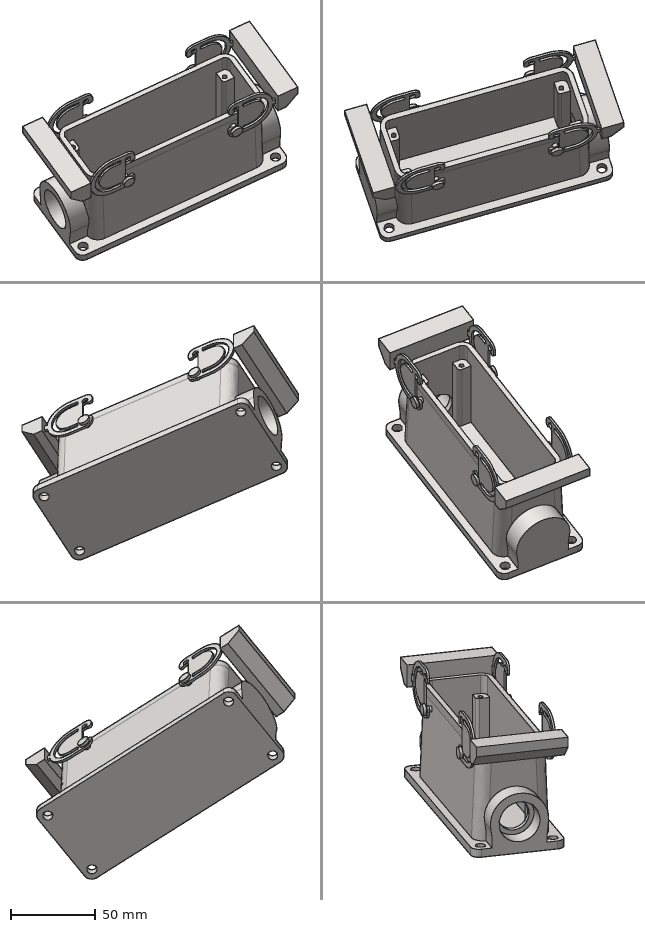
import cadquery as cq
import math


flange_width = 57.5
flange_length = 144.6
flange_height = 5.1
flange_corner = 5.1
screw_hole_radius = 3.0
screw_hole_x = 22.5
screw_hole_y = 66.1

rim_half_width = 21.5
base_half_width = 24.0
half_length = 60.0
outer_corner = 7.8
wall = 3.3
rim_height = 64.3
crease_height = 58.7
floor_height = flange_height
inner_corner = 3.5

post_hole_x = 13.4
post_hole_y = 52.1
post_hole_radius = 1.4
post_hole_depth = 12.5
post_inner_x = 10.0
post_inner_y = 49.1
post_corner = 2.0
post_top = 52.4

entry_height = 20.0
entry_radius = 18.1
entry_waist_height = 16.7
entry_foot_half_width = 17.0
bore_radius = 12.6
bore_depth = flange_length / 2 - half_length
gland_hole_radius = 9.7

plate_inner_x = 24.2
plate_outer_x = 25.6
plate_thickness = plate_outer_x - plate_inner_x
plate_radius = 15.6
plate_center_y = 47.1
plate_center_z = 64.5
plate_top = plate_center_z + plate_radius
plate_tip_y = 32.3
plate_corner = 4.8
web_edge_y = 38.8
hook_radius = 1.7
hook_y = plate_tip_y + hook_radius
hook_rise = 8.7
slot_outer_radius = 12.5
slot_inner_radius = 9.5
slot_end_y = 41.8
slot_corner = 1.0

pivot_y = 37.1
pivot_rise = 10.5
pivot_radius = 1.9
pivot_head_radius = 3.6
pivot_head_x = 27.5
notch_y = pivot_y
notch_rise = 5.3
notch_radius = math.hypot(notch_y - hook_y, hook_rise - notch_rise) - hook_radius

bar_width = 57.0
bar_inner_y = 64.3
bar_outer_y = 78.0
bar_top = 72.7
bar_bottom = 58.5
bar_chamfer_y = 70.0
bar_chamfer_z = 66.5
neck_height = 4.2


def rounded_rectangle(half_x, half_y, radius):
    return cq.Sketch().rect(2 * half_x, 2 * half_y).vertices().fillet(radius)


def make_wall_block():
    """Solid block out to the outer faces of the walls; only its long sides are drafted."""
    profile = rounded_rectangle(rim_half_width, half_length, outer_corner)
    block = (
        cq.Workplane("XY", origin=(0, 0, crease_height))
        .placeSketch(profile)
        .extrude(rim_height - crease_height)
    )
    crease_outline = block.faces("<Z").wires().val()
    for side in (-1, 1):
        lean = cq.Vector(side * (base_half_width - rim_half_width), 0, -crease_height)
        block = block.union(cq.Workplane(cq.Solid.extrudeLinear(crease_outline, [], lean)))
    return block


def make_cavity():
    """Straight-sided cavity, open at the rim."""
    return (
        cq.Workplane("XY", origin=(0, 0, floor_height))
        .placeSketch(rounded_rectangle(rim_half_width - wall, half_length - wall, inner_corner))
        .extrude(rim_height - floor_height)
    )


def make_flange():
    return (
        cq.Workplane("XY")
        .rect(flange_width, flange_length)
        .extrude(flange_height)
        .edges("|Z")
        .fillet(flange_corner)
        .faces(">Z")
        .workplane()
        .rect(2 * screw_hole_x, 2 * screw_hole_y, forConstruction=True)
        .vertices()
        .hole(2 * screw_hole_radius)
    )


def make_entry_bosses():
    """Round boss on a flared foot, running the full length of the flange."""
    drop = entry_height - entry_waist_height
    waist = math.sqrt(entry_radius**2 - drop**2)
    return (
        cq.Workplane("XZ", origin=(0, flange_length / 2, 0))
        .moveTo(-entry_foot_half_width, 0)
        .lineTo(entry_foot_half_width, 0)
        .lineTo(entry_foot_half_width, flange_height)
        .tangentArcPoint((waist, entry_waist_height), relative=False)
        .threePointArc((0, entry_height + entry_radius), (-waist, entry_waist_height))
        .tangentArcPoint((-entry_foot_half_width, flange_height), relative=False)
        .close()
        .extrude(flange_length)
    )


def make_posts(wall_block):
    """Four corner posts, trimmed to the outer faces of the walls."""
    size_x = rim_half_width - post_inner_x
    size_y = half_length - post_inner_y
    posts = cq.Workplane("XY")
    for side_x in (-1, 1):
        for side_y in (-1, 1):
            center = (side_x * (post_inner_x + size_x / 2), side_y * (post_inner_y + size_y / 2), 0)
            post = (
                cq.Workplane("XY", origin=center)
                .rect(size_x, size_y)
                .extrude(post_top)
                .edges("|Z")
                .edges(cq.NearestToPointSelector((side_x * post_inner_x, side_y * post_inner_y, 0)))
                .fillet(post_corner)
            )
            hole = (
                cq.Workplane("XY", origin=(side_x * post_hole_x, side_y * post_hole_y, post_top))
                .circle(post_hole_radius)
                .extrude(-post_hole_depth)
            )
            posts = posts.add(post.cut(hole).intersect(wall_block))
    return posts.combine()


def make_cable_bore():
    """Stepped bore through the -Y boss and wall; the +Y boss stays closed."""
    bore = (
        cq.Workplane("XZ", origin=(0, -flange_length / 2, entry_height))
        .circle(bore_radius)
        .extrude(-bore_depth)
    )
    gland_hole = (
        cq.Workplane("XZ", origin=(0, -flange_length / 2, entry_height))
        .circle(gland_hole_radius)
        .extrude(-flange_length / 2)
    )
    return bore.union(gland_hole)


def make_pivots():
    """Headed pins standing out from the long walls, one for each lever plate."""
    pivots = cq.Workplane("XY")
    pin_root_x = rim_half_width - wall / 2
    for side_x in (-1, 1):
        for side_y in (-1, 1):
            plane = cq.Plane(
                origin=(0, side_y * pivot_y, plate_center_z - pivot_rise),
                xDir=(0, 1, 0),
                normal=(side_x, 0, 0),
            )
            pin = (
                cq.Workplane(plane)
                .workplane(offset=pin_root_x)
                .circle(pivot_radius)
                .extrude(pivot_head_x - pin_root_x)
            )
            head = (
                cq.Workplane(plane)
                .workplane(offset=plate_outer_x)
                .circle(pivot_head_radius)
                .extrude(pivot_head_x - plate_outer_x)
            )
            pivots = pivots.add(pin.union(head))
    return pivots.combine()


def make_housing():
    wall_block = make_wall_block()
    return (
        make_flange()
        .union(wall_block)
        .union(make_entry_bosses())
        .cut(make_cavity())
        .union(make_posts(wall_block))
        .cut(make_cable_bore())
        .union(make_pivots())
    )


def plate_half():
    """Upper half of a lever plate: rounded back, hooked tip and a notch beside the web."""
    notch_z = plate_center_z + notch_rise
    hook_z = plate_center_z + hook_rise
    notch_start_z = notch_z + math.sqrt(notch_radius**2 - (web_edge_y - notch_y) ** 2)
    meet = notch_radius / (notch_radius + hook_radius)
    meet_y = notch_y + meet * (hook_y - notch_y)
    meet_z = notch_z + meet * (hook_z - notch_z)
    diagonal = math.sqrt(0.5)
    corner_y = plate_tip_y + plate_corner
    corner_z = plate_top - plate_corner
    return (
        cq.Workplane("YZ", origin=(plate_inner_x, 0, 0))
        .moveTo(web_edge_y, plate_center_z)
        .lineTo(web_edge_y, notch_start_z)
        .threePointArc((notch_y, notch_z + notch_radius), (meet_y, meet_z))
        .threePointArc(
            (hook_y - hook_radius * diagonal, hook_z - hook_radius * diagonal),
            (plate_tip_y, hook_z),
        )
        .lineTo(plate_tip_y, corner_z)
        .threePointArc(
            (corner_y - plate_corner * diagonal, corner_z + plate_corner * diagonal),
            (corner_y, plate_top),
        )
        .lineTo(plate_center_y, plate_top)
        .threePointArc(
            (plate_center_y + plate_radius * diagonal, plate_center_z + plate_radius * diagonal),
            (plate_center_y + plate_radius, plate_center_z),
        )
        .close()
        .extrude(plate_thickness)
    )


def plate_slot():
    """C-shaped slot concentric with the rounded back of the plate."""
    top_outer = plate_center_z + slot_outer_radius
    top_inner = plate_center_z + slot_inner_radius
    bottom_outer = plate_center_z - slot_outer_radius
    bottom_inner = plate_center_z - slot_inner_radius
    return (
        cq.Workplane("YZ", origin=(plate_inner_x, 0, 0))
        .moveTo(slot_end_y, top_outer)
        .lineTo(plate_center_y, top_outer)
        .threePointArc(
            (plate_center_y + slot_outer_radius, plate_center_z), (plate_center_y, bottom_outer)
        )
        .lineTo(slot_end_y, bottom_outer)
        .lineTo(slot_end_y, bottom_inner)
        .lineTo(plate_center_y, bottom_inner)
        .threePointArc(
            (plate_center_y + slot_inner_radius, plate_center_z), (plate_center_y, top_inner)
        )
        .lineTo(slot_end_y, top_inner)
        .close()
        .extrude(plate_thickness)
        .edges("|X and <Y")
        .fillet(slot_corner)
    )


def make_plate():
    """Lever plate on the +X side, with a pivot hole in each end and a neck to the bar."""
    half = plate_half()
    mirrored_half = half.mirror("XY", (0, 0, plate_center_z))
    holes = (
        cq.Workplane("YZ", origin=(plate_inner_x, 0, 0))
        .pushPoints([(pivot_y, plate_center_z + rise) for rise in (-pivot_rise, pivot_rise)])
        .circle(pivot_radius)
        .extrude(plate_thickness)
    )
    neck_root_y = plate_center_y + (plate_radius + slot_outer_radius) / 2
    neck_length = bar_inner_y - neck_root_y
    neck = (
        cq.Workplane("XY", origin=(plate_inner_x, neck_root_y, plate_center_z))
        .box(plate_thickness, neck_length, neck_height, centered=(False, False, True))
    )
    return half.union(mirrored_half).cut(plate_slot()).cut(holes).union(neck)


def make_bar():
    return (
        cq.Workplane("YZ", origin=(-bar_width / 2, 0, 0))
        .moveTo(bar_inner_y, bar_top)
        .lineTo(bar_outer_y, bar_top)
        .lineTo(bar_outer_y, bar_chamfer_z)
        .lineTo(bar_chamfer_y, bar_bottom)
        .lineTo(bar_inner_y, bar_bottom)
        .close()
        .extrude(bar_width)
    )


def make_lever():
    """Locking lever at the +Y end: two plates joined by a handle bar."""
    plate = make_plate()
    return make_bar().union(plate).union(plate.mirror("YZ"))


lever = make_lever()
housing = make_housing().union(lever)
loose_lever = lever.mirror("XZ")

result = cq.Compound.makeCompound([housing.val(), loose_lever.val()])